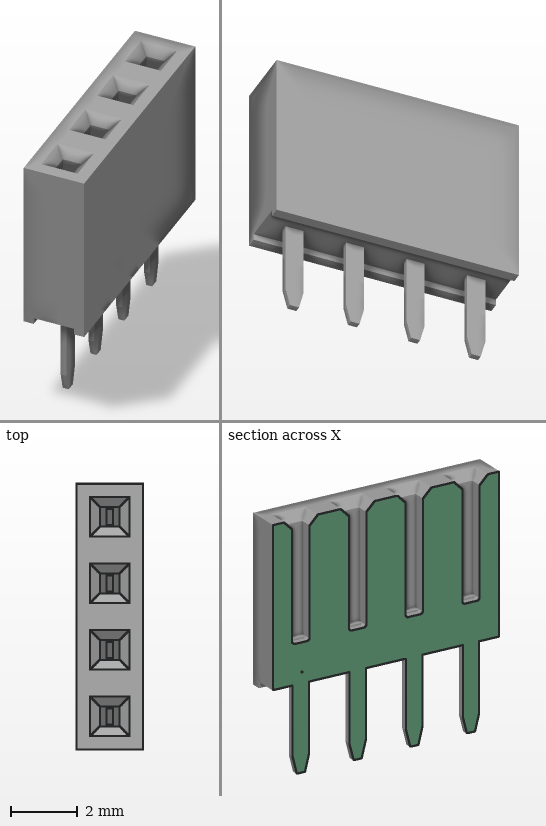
import cadquery as cq

contact_count = 4
pitch = 2.0
overall_height = 8.3

body_width = pitch
body_length = contact_count * pitch
body_height = 5.6
foot_width = 0.33
foot_height = 0.21

funnel_size = 1.195
cavity_size = 0.6
funnel_depth = (funnel_size - cavity_size) / 2
cavity_depth = 3.98
seat_width = 0.2
seat_depth = 0.06

pin_thickness = seat_width
pin_width = cavity_size
pin_tip_width = pin_width / 2
pin_tip_height = 0.58
pin_bottom = body_height - overall_height

contact_positions = [(i - (contact_count - 1) / 2) * pitch for i in range(contact_count)]


def make_housing():
    """Box with a full-length channel underneath, leaving a foot along each side."""
    block = cq.Workplane("XY").box(body_width, body_length, body_height, centered=(True, True, False))
    channel_width = body_width - 2 * foot_width
    channel = cq.Workplane("XY").box(channel_width, body_length, foot_height, centered=(True, True, False))
    return block.cut(channel)


def make_socket():
    """Volume removed from the housing for one contact, centred on Y = 0."""
    funnel = (
        cq.Workplane("XY", origin=(0, 0, body_height))
        .rect(funnel_size, funnel_size)
        .workplane(offset=-funnel_depth)
        .rect(cavity_size, cavity_size)
        .loft(ruled=True)
    )
    cavity_floor = body_height - cavity_depth
    cavity = (
        cq.Workplane("XY", origin=(0, 0, cavity_floor))
        .rect(cavity_size, cavity_size)
        .extrude(cavity_depth - funnel_depth)
    )
    seat_top_end = cavity_size / 2
    seat_bottom_end = seat_top_end - seat_depth
    seat = (
        cq.Workplane("YZ", origin=(0, 0, cavity_floor))
        .polyline([
            (-seat_top_end, 0),
            (-seat_bottom_end, -seat_depth),
            (seat_bottom_end, -seat_depth),
            (seat_top_end, 0),
        ])
        .close()
        .extrude(seat_width / 2, both=True)
    )
    return funnel.union(cavity).union(seat)


def make_pin():
    """Flat pin below the channel ceiling, tapered in width at its tip."""
    shoulder = pin_bottom + pin_tip_height
    return (
        cq.Workplane("YZ")
        .polyline([
            (-pin_width / 2, foot_height),
            (-pin_width / 2, shoulder),
            (-pin_tip_width / 2, pin_bottom),
            (pin_tip_width / 2, pin_bottom),
            (pin_width / 2, shoulder),
            (pin_width / 2, foot_height),
        ])
        .close()
        .extrude(pin_thickness / 2, both=True)
    )


result = make_housing()
socket = make_socket()
pin = make_pin()
for y in contact_positions:
    result = result.cut(socket.translate((0, y, 0)))
    result = result.union(pin.translate((0, y, 0)))